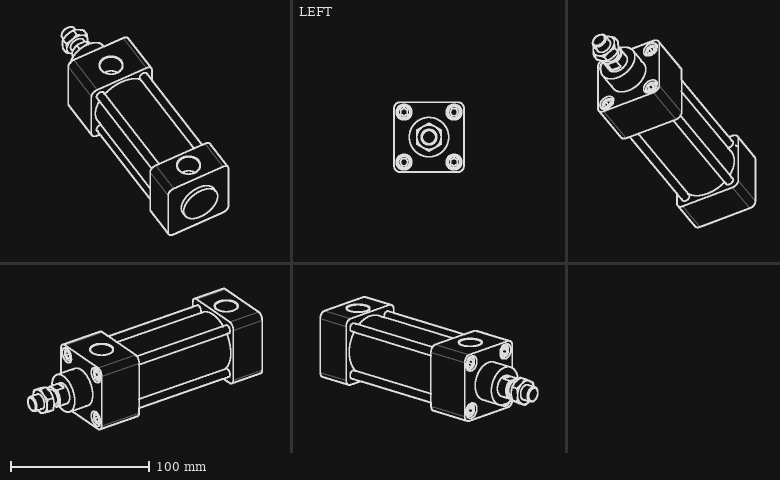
import cadquery as cq
import math

OVERALL_LENGTH = 190.5

CAP_SIZE = 50.9
CAP_CORNER_RADIUS = 4.8
BOSS_DIAMETER = 28.5
FRONT_BOSS_START = 28.2
FRONT_CAP_START = 44.2
FRONT_CAP_END = 77.5
REAR_CAP_START = 161.4
REAR_BOSS_LENGTH = 3.5
REAR_CAP_END = OVERALL_LENGTH - REAR_BOSS_LENGTH

PORT_FLOOR_DIAMETER = 15.5
PORT_DEPTH = 15.2
PORT_TAPER = 1 / 16
PORT_CHAMFER = 0.4
FRONT_PORT_X = 62.3
REAR_PORT_X = 173.2

BARREL_DIAMETER = 44.4

ROD_DIAMETER = 15.8
ROD_SHOULDER_START = 19.2
ROD_CHAMFER = 0.5
THREAD_DIAMETER = 11.2
THREAD_CHAMFER = 0.8
WRENCH_FLAT_SPACING = 14.0
WRENCH_FLAT_LENGTH = 6.9

NUT_START = 7.5
NUT_THICKNESS = 6.3
NUT_ACROSS_FLATS = 17.5
NUT_CHAMFER_ANGLE = 30.0

TIE_ROD_DIAMETER = 6.3
TIE_ROD_OFFSET = 18.1
TIE_ROD_ENGAGEMENT = 11.5
HEAD_DIAMETER = 9.3
HEAD_CHAMFER = 0.5
HEAD_LENGTH = 7.6
HEAD_RECESS = 1.0
COUNTERBORE_DIAMETER = 11.2
SOCKET_ACROSS_FLATS = 5.0
SOCKET_DEPTH = 4.2

HEX_HALF_ANGLE = math.pi / 6

HEAD_START = FRONT_CAP_START + HEAD_RECESS
HEAD_END = HEAD_START + HEAD_LENGTH
TIE_ROD_END = REAR_CAP_START + TIE_ROD_ENGAGEMENT
TIE_ROD_POSITIONS = [
    (TIE_ROD_OFFSET, TIE_ROD_OFFSET, 0),
    (-TIE_ROD_OFFSET, TIE_ROD_OFFSET, 90),
    (-TIE_ROD_OFFSET, -TIE_ROD_OFFSET, 180),
    (TIE_ROD_OFFSET, -TIE_ROD_OFFSET, 270),
]


def plane_at(x):
    """Workplane across the cylinder axis: local x is Y, local y is Z, extrusion runs toward +X."""
    return cq.Workplane("YZ", origin=(x, 0, 0))


def disc(diameter, start, end, y=0, z=0):
    """Round bar parallel to X between two X positions."""
    return plane_at(start).center(y, z).circle(diameter / 2).extrude(end - start)


def hexagon(across_flats, start, end):
    """Hexagonal bar along X with two corners on the Z axis."""
    corner_diameter = across_flats / math.cos(HEX_HALF_ANGLE)
    bar = plane_at(start).polygon(6, corner_diameter).extrude(end - start)
    return bar.rotate((0, 0, 0), (1, 0, 0), 90)


def cap_block(start, end):
    """Square cap with rounded long edges."""
    block = plane_at(start).rect(CAP_SIZE, CAP_SIZE).extrude(end - start)
    return block.edges("|X").fillet(CAP_CORNER_RADIUS)


def port_cutter(x):
    """Blind port that narrows downward from a chamfered mouth in the top face."""
    top = cq.Workplane("XY", origin=(x, 0, CAP_SIZE / 2))
    bore_radius = (PORT_FLOOR_DIAMETER + PORT_DEPTH * PORT_TAPER) / 2
    wall_angle = math.degrees(math.atan(PORT_TAPER / 2))
    bore = top.circle(bore_radius).extrude(-PORT_DEPTH, taper=wall_angle)
    mouth = top.circle(bore_radius + PORT_CHAMFER).extrude(-PORT_CHAMFER, taper=45)
    return bore.union(mouth)


def make_front_cap():
    cap = cap_block(FRONT_CAP_START, FRONT_CAP_END)
    cap = cap.union(disc(BOSS_DIAMETER, FRONT_BOSS_START, FRONT_CAP_START))
    cap = cap.cut(disc(ROD_DIAMETER, FRONT_BOSS_START, FRONT_CAP_END))
    cap = cap.cut(port_cutter(FRONT_PORT_X))
    for y, z, _ in TIE_ROD_POSITIONS:
        cap = cap.cut(disc(COUNTERBORE_DIAMETER, FRONT_CAP_START, HEAD_END, y, z))
        cap = cap.cut(disc(TIE_ROD_DIAMETER, HEAD_END, FRONT_CAP_END, y, z))
    return cap


def make_rear_cap():
    cap = cap_block(REAR_CAP_START, REAR_CAP_END)
    cap = cap.union(disc(BOSS_DIAMETER, REAR_CAP_END, OVERALL_LENGTH))
    cap = cap.cut(port_cutter(REAR_PORT_X))
    for y, z, _ in TIE_ROD_POSITIONS:
        cap = cap.cut(disc(TIE_ROD_DIAMETER, REAR_CAP_START, TIE_ROD_END, y, z))
    return cap


def make_barrel():
    return disc(BARREL_DIAMETER, FRONT_CAP_END, REAR_CAP_START)


def make_piston_rod():
    """Rod with a threaded nose and two wrench flats facing up and down."""
    shoulder = disc(ROD_DIAMETER, ROD_SHOULDER_START, FRONT_CAP_END)
    shoulder = shoulder.faces("<X").chamfer(ROD_CHAMFER)
    flat_end = ROD_SHOULDER_START + WRENCH_FLAT_LENGTH
    flat_zone = disc(ROD_DIAMETER, ROD_SHOULDER_START, flat_end)
    between_flats = (
        plane_at(ROD_SHOULDER_START).rect(ROD_DIAMETER, WRENCH_FLAT_SPACING).extrude(WRENCH_FLAT_LENGTH)
    )
    shoulder = shoulder.cut(flat_zone.cut(between_flats))
    nose = disc(THREAD_DIAMETER, 0, ROD_SHOULDER_START)
    nose = nose.faces("<X").chamfer(THREAD_CHAMFER)
    return nose.union(shoulder)


def make_nut():
    """Hexagonal nut whose corners are cut back by a cone at both ends."""
    nut_end = NUT_START + NUT_THICKNESS
    flat_radius = NUT_ACROSS_FLATS / 2
    corner_radius = flat_radius / math.cos(HEX_HALF_ANGLE)
    cone_length = (corner_radius - flat_radius) * math.tan(math.radians(NUT_CHAMFER_ANGLE))
    envelope = (
        cq.Workplane("XY")
        .moveTo(NUT_START, 0)
        .lineTo(NUT_START, flat_radius)
        .lineTo(NUT_START + cone_length, corner_radius)
        .lineTo(nut_end - cone_length, corner_radius)
        .lineTo(nut_end, flat_radius)
        .lineTo(nut_end, 0)
        .close()
        .revolve(360, (0, 0, 0), (1, 0, 0))
    )
    nut = hexagon(NUT_ACROSS_FLATS, NUT_START, nut_end).intersect(envelope)
    return nut.cut(disc(THREAD_DIAMETER, NUT_START, nut_end))


def make_tie_rod(y, z, turn):
    """Long rod with a chamfered socket head, turned about its own axis."""
    head = disc(HEAD_DIAMETER, HEAD_START, HEAD_END)
    head = head.faces("<X").chamfer(HEAD_CHAMFER)
    head = head.cut(hexagon(SOCKET_ACROSS_FLATS, HEAD_START, HEAD_START + SOCKET_DEPTH))
    tie_rod = head.union(disc(TIE_ROD_DIAMETER, HEAD_END, TIE_ROD_END))
    return tie_rod.rotate((0, 0, 0), (1, 0, 0), turn).translate((0, y, z))


front_cap = make_front_cap()
rear_cap = make_rear_cap()
barrel = make_barrel()
piston_rod = make_piston_rod()
nut = make_nut()
tie_rods = [make_tie_rod(y, z, turn) for y, z, turn in TIE_ROD_POSITIONS]

result = cq.Compound.makeCompound(
    [
        front_cap.val(),
        rear_cap.val(),
        barrel.val(),
        piston_rod.val(),
        nut.val(),
        *[tie_rod.val() for tie_rod in tie_rods],
    ]
)